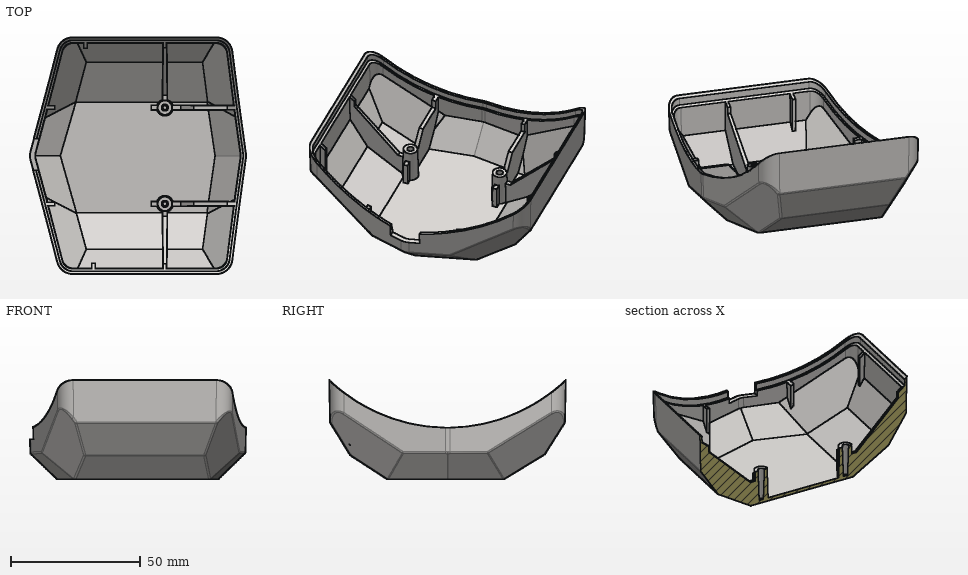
import cadquery as cq
import math

HALF_LENGTH = 45.9
RIM_HEIGHT = 38.6
RIM_SAG = 18.5
DRAFT_ANGLE = 1.2
CORNER_RADIUS = 6.4
FACET_RADIUS = 1.2
APEX_X = {-1: -42.5, 1: 42.5}
CORNER_X = {-1: -30.0, 1: 36.1}

FLOOR_APEX_X = {-1: -31.2, 1: 31.2}
FLOOR_CORNER_X = {(-1, -1): -24.6, (-1, 1): -24.9, (1, -1): 27.9, (1, 1): 28.0}
FLOOR_CORNER_Y = {-1: -23.3, 1: 21.9}
KNEE_X = {-1: -20.7, 1: 26.0}
KNEE_Y = 37.7
KNEE_HEIGHT = {-1: 9.4, 1: 9.7}
END_WALL_FOOT_Y = 45.4
END_WALL_FOOT_Z = 21.8
SIDE_FOOT_X = {-1: -41.7, 1: 41.6}
SIDE_FOOT_Z = 10.1
SIDE_CORNER_X = {-1: -37.65, 1: 39.7}
SIDE_CORNER_Y = {(-1, -1): -16.0, (-1, 1): 14.9, (1, -1): -16.6, (1, 1): 15.1}

WALL = 2.0
FLOOR = 1.65
LIP_WALL = 1.1
LIP_DEPTH = 2.6

NOTCH_Y = (-5.7, 6.5)
NOTCH_FLOOR_Z = 15.6
NOTCH_REACH = 14.7

BOSS_X = 10.6
BOSS_Y = 18.6
BOSS_TOP = 15.0
BOSS_TOP_RADIUS = 2.8
BOSS_BASE_RADIUS = 3.2
HOLE_TOP_RADIUS = 1.3
HOLE_BOTTOM_RADIUS = 0.8
RIB_BASE_WIDTH = 2.0
RIB_TOP_WIDTH = 1.1
RIB_LOW = 10.8
STUB_END_X = 5.3
END_RIB_FLAT_Y = 23.4
END_RIB_STEP_Y = 41.8
END_RIB_STEP_Z = 29.8
SIDE_RIB_RAMP_X = (16.6, 21.7)
SIDE_RIB_SHELF_Z = 16.5
SIDE_RIB_STEP_X = 34.8

TAB_WIDTH = 1.4
SIDE_TAB_END_X = -32.05
END_TAB_Y = 41.6
END_TAB_X = {-1: -17.2, 1: -20.2}

OVERSIZE = 183.7
HEADROOM = 1.8
SPARE_DEPTH = 4.6


def wall_prism(inset):
    """Drafted six-sided prism with rounded upright edges, moved inwards by inset."""
    top = RIM_HEIGHT + HEADROOM
    outset = HEADROOM * math.tan(math.radians(DRAFT_ANGLE)) - inset
    top_plane = cq.Plane(origin=(0, 0, top), xDir=(1, 0, 0), normal=(0, 0, -1))
    outline = [
        (APEX_X[-1], 0),
        (CORNER_X[-1], -HALF_LENGTH),
        (CORNER_X[1], -HALF_LENGTH),
        (APEX_X[1], 0),
        (CORNER_X[1], HALF_LENGTH),
        (CORNER_X[-1], HALF_LENGTH),
    ]
    prism = (
        cq.Workplane(top_plane)
        .polyline(outline)
        .close()
        .offset2D(outset, "intersection")
        .extrude(top + SPARE_DEPTH, taper=DRAFT_ANGLE)
    )
    return prism.edges("not #Z").fillet(CORNER_RADIUS - inset)


def outside_of(points, inset):
    """Large block below the plane through three points, moved inwards by inset."""
    first, second, third = [cq.Vector(*point) for point in points]
    normal = (second - first).cross(third - first).normalized()
    if normal.z > 0:
        normal = normal * -1
    plane = cq.Plane(origin=first - normal * inset, xDir=second - first, normal=normal)
    return cq.Workplane(plane).rect(OVERSIZE, OVERSIZE).extrude(OVERSIZE)


def facet_planes():
    """Three points on each sloping facet of the underside."""
    planes = []
    for y_side in (-1, 1):
        corner_y = FLOOR_CORNER_Y[y_side]
        knee_y = y_side * KNEE_Y
        knee_z = KNEE_HEIGHT[y_side]
        foot_y = y_side * END_WALL_FOOT_Y
        planes.append([(0, corner_y, 0), (0.9, corner_y, 0), (0, knee_y, knee_z)])
        planes.append([(0, knee_y, knee_z), (0.9, knee_y, knee_z), (0, foot_y, END_WALL_FOOT_Z)])
        for x_side in (-1, 1):
            corner = (FLOOR_CORNER_X[x_side, y_side], corner_y, 0)
            knee = (KNEE_X[x_side], knee_y, knee_z)
            side_corner = (SIDE_CORNER_X[x_side], SIDE_CORNER_Y[x_side, y_side], SIDE_FOOT_Z)
            apex = (FLOOR_APEX_X[x_side], 0, 0)
            side_foot = (SIDE_FOOT_X[x_side], 0, SIDE_FOOT_Z)
            planes.append([corner, knee, side_corner])
            planes.append([apex, corner, side_foot])
    return planes


def faceted_body(inset):
    """Wall prism with the underside facets cut away, all moved inwards by inset."""
    body = wall_prism(inset)
    for points in facet_planes():
        body = body.cut(outside_of(points, inset))
    return body


def space_above_rim(drop):
    """Cylinder along X whose lowest part follows the rim, lowered by drop."""
    radius = (HALF_LENGTH**2 + RIM_SAG**2) / (2 * RIM_SAG)
    centre_z = RIM_HEIGHT - RIM_SAG + radius - drop
    return cq.Workplane("YZ").center(0, centre_z).circle(radius).extrude(OVERSIZE / 2, both=True)


def cone(x, y, bottom_z, top_z, bottom_radius, top_radius):
    solid = cq.Solid.makeCone(bottom_radius, top_radius, top_z - bottom_z, cq.Vector(x, y, bottom_z))
    return cq.Workplane(solid)


def drafted_slab(section_plane, offset):
    """Endless upright slab, thinner at the top, across the given section plane."""
    base = RIB_BASE_WIDTH / 2
    top = RIB_TOP_WIDTH / 2
    section = [
        (offset - base, 0),
        (offset + base, 0),
        (offset + top, RIM_HEIGHT),
        (offset - top, RIM_HEIGHT),
    ]
    return cq.Workplane(section_plane).polyline(section).close().extrude(OVERSIZE / 2, both=True)


def end_rib(y_side):
    """Rib from a boss to its end wall, climbing to a tab at the wall."""
    profile = [
        (BOSS_Y, 0),
        (BOSS_Y, RIB_LOW),
        (END_RIB_FLAT_Y, RIB_LOW),
        (END_RIB_STEP_Y, END_RIB_STEP_Z),
        (END_RIB_STEP_Y, RIM_HEIGHT),
        (HALF_LENGTH, RIM_HEIGHT),
        (HALF_LENGTH, 0),
    ]
    points = [(y_side * y, z) for y, z in profile]
    sheet = cq.Workplane("YZ").polyline(points).close().extrude(OVERSIZE / 2, both=True)
    return sheet.intersect(drafted_slab("XZ", BOSS_X))


def side_rib(y_side):
    """Rib from the stub left of a boss, through it, to the right wall."""
    ramp_start, ramp_end = SIDE_RIB_RAMP_X
    profile = [
        (STUB_END_X, 0),
        (STUB_END_X, RIB_LOW),
        (ramp_start, RIB_LOW),
        (ramp_end, SIDE_RIB_SHELF_Z),
        (SIDE_RIB_STEP_X, SIDE_RIB_SHELF_Z),
        (SIDE_RIB_STEP_X, RIM_HEIGHT),
        (APEX_X[1], RIM_HEIGHT),
        (APEX_X[1], 0),
    ]
    sheet = cq.Workplane("XZ").polyline(profile).close().extrude(OVERSIZE / 2, both=True)
    return sheet.intersect(drafted_slab("YZ", y_side * BOSS_Y))


def block(x_range, y_range, z_range):
    x0, y0, z0 = x_range[0], y_range[0], z_range[0]
    sizes = [high - low for low, high in (x_range, y_range, z_range)]
    return cq.Workplane("XY").box(*sizes, centered=False).translate((x0, y0, z0))


def wall_tabs(y_side):
    """Tab on the left wall and tab on the end wall."""
    half = TAB_WIDTH / 2
    tab_y = y_side * BOSS_Y
    tab_x = END_TAB_X[y_side]
    full_height = (0, RIM_HEIGHT)
    end_range = sorted((y_side * END_TAB_Y, y_side * HALF_LENGTH))
    side_tab = block((APEX_X[-1], SIDE_TAB_END_X), (tab_y - half, tab_y + half), full_height)
    end_tab = block((tab_x - half, tab_x + half), end_range, full_height)
    return side_tab.union(end_tab)


above_base = block((-OVERSIZE, OVERSIZE), (-OVERSIZE, OVERSIZE), (0, OVERSIZE))
facet_zone = cq.selectors.BoxSelector(
    (-OVERSIZE, -OVERSIZE, 0), (OVERSIZE, OVERSIZE, RIM_HEIGHT)
)
outer = faceted_body(0).edges(facet_zone).fillet(FACET_RADIUS).intersect(above_base)

cavity = faceted_body(WALL).intersect(above_base.translate((0, 0, FLOOR)))
shell = outer.cut(cavity)

fittings = cq.Workplane("XY")
for side in (-1, 1):
    boss = cone(BOSS_X, side * BOSS_Y, 0, BOSS_TOP, BOSS_BASE_RADIUS, BOSS_TOP_RADIUS)
    fittings = fittings.add(boss.union(end_rib(side)).union(side_rib(side)).union(wall_tabs(side)))
fittings = fittings.combine()
fittings = fittings.intersect(faceted_body(WALL / 2)).intersect(above_base).cut(space_above_rim(LIP_DEPTH))
body = shell.union(fittings)

for side in (-1, 1):
    body = body.cut(
        cone(BOSS_X, side * BOSS_Y, FLOOR, BOSS_TOP, HOLE_BOTTOM_RADIUS, HOLE_TOP_RADIUS)
    )

body = body.cut(space_above_rim(0))
body = body.cut(wall_prism(LIP_WALL).intersect(space_above_rim(LIP_DEPTH)))
notch = block((APEX_X[-1], APEX_X[-1] + NOTCH_REACH), NOTCH_Y, (NOTCH_FLOOR_Z, RIM_HEIGHT))
result = body.cut(notch)